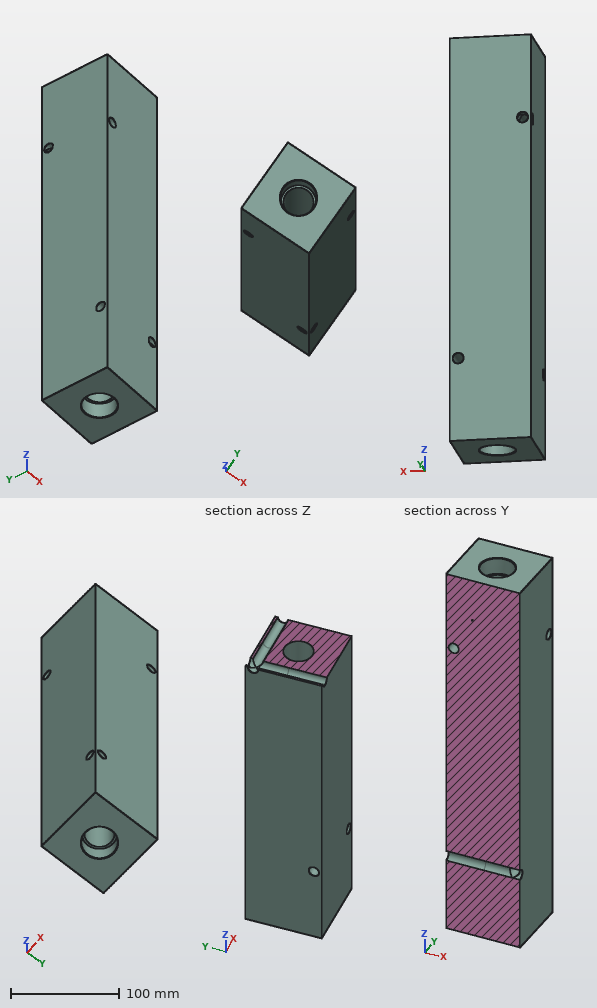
import cadquery as cq

side = 76.2
length = 387.35
edge_break = 0.254

bore_diameter = 27.8
rim_diameter = 34.7
socket_mouth_diameter = 33.4
socket_depth = 16.75
socket_taper = 1 / 16

cross_hole_diameter = 9.92
cross_hole_edge_distance = 7.9375
cross_hole_spacing = 228.6

rim_chamfer_depth = (rim_diameter - socket_mouth_diameter) / 2
socket_floor_diameter = socket_mouth_diameter - socket_taper * (socket_depth - rim_chamfer_depth)
cross_hole_offset = side / 2 - cross_hole_edge_distance


def block():
    blank = cq.Workplane("XY").box(side, side, length, centered=(True, True, False))
    return blank.edges().chamfer(edge_break)


def socket(mouth_height, inward):
    """Tapered, chamfered socket opening at mouth_height; inward is -1 if it runs down, +1 if up."""
    rim_end = mouth_height + inward * rim_chamfer_depth
    floor = mouth_height + inward * socket_depth
    profile = (
        cq.Workplane("XZ")
        .moveTo(0, mouth_height)
        .lineTo(rim_diameter / 2, mouth_height)
        .lineTo(socket_mouth_diameter / 2, rim_end)
        .lineTo(socket_floor_diameter / 2, floor)
        .lineTo(0, floor)
        .close()
    )
    return profile.revolve(360, (0, 0, 0), (0, 1, 0))


def axial_bore():
    through_bore = cq.Workplane("XY").circle(bore_diameter / 2).extrude(length)
    return through_bore.union(socket(length, -1)).union(socket(0, 1))


def cross_hole(plane, offset, height):
    """Through hole normal to the given plane."""
    return (
        cq.Workplane(plane)
        .center(offset, height)
        .circle(cross_hole_diameter / 2)
        .extrude(side / 2, both=True)
    )


def cross_hole_pair(level):
    """Holes along Y and X that cross near one vertical edge; level is +1 upper, -1 lower."""
    height = length / 2 + level * cross_hole_spacing / 2
    along_y = cross_hole("XZ", -level * cross_hole_offset, height)
    along_x = cross_hole("YZ", level * cross_hole_offset, height)
    return along_y.union(along_x)


def break_cross_hole_rims(body):
    """Chamfer the circular mouths of the cross holes on the four side faces."""
    rims = []
    for side_face in ("<X", ">X", "<Y", ">Y"):
        rims += body.faces(side_face).edges("%CIRCLE").vals()
    return body.newObject(rims).chamfer(edge_break)


result = block().cut(axial_bore())
for level in (1, -1):
    result = result.cut(cross_hole_pair(level))
result = break_cross_hole_rims(result)